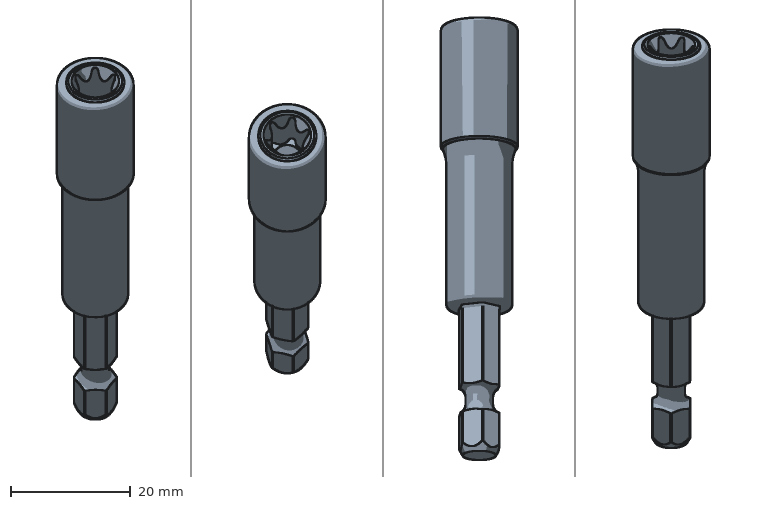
import cadquery as cq
import math

SLEEVE_RADIUS = 6.45
SLEEVE_TOP = 74.7
SLEEVE_BOTTOM = 53.5
SLEEVE_TOP_FILLET = 0.7
SLEEVE_BOTTOM_CHAMFER = 0.4

DRIVER_TOP = 75
CORE_RADIUS = 4.9
CORE_CHAMFER = 0.4
COLLAR_RADIUS = 6.15
BODY_RADIUS = 5.55
FLARE_BOTTOM = 50.8
BODY_BOTTOM = 25.65
BODY_FILLET = 0.75

HEX_SIDES = 6
HEX_ACROSS_FLATS = 6.4
HEX_CORNER_RADIUS = 3.6
HEX_TURN = 30
ROOT_HEIGHT = 0.7
ROOT_FLARE_ANGLE = 3
SHANK_TOP = BODY_BOTTOM - ROOT_HEIGHT
TIP_RADIUS = 2.8
TIP_CHAMFER_HEIGHT = 1.5

GROOVE_RADIUS = 2.3
GROOVE_LOW = 8.9
GROOVE_HIGH = 10.1
GROOVE_CURVE_RADIUS = 2.0

SOCKET_MOUTH_RADIUS = 4.0
LOBE_REACH = 3.75
RIDGE_REACH = 2.7
RIDGE_RADIUS = 1.65
LOBE_COUNT = 6
SOCKET_DEPTH = 7.5
LEAD_IN_ANGLE = 60
DRILL_RADIUS = 2.4
DRILL_POINT_ANGLE = 118


def revolve(profile):
    """Turn a profile drawn in radius and height about the Z axis."""
    return profile.close().revolve(360, (0, 0), (0, 1))


def polar(radius, degrees):
    angle = math.radians(degrees)
    return radius * math.cos(angle), radius * math.sin(angle)


def cone_height(radius, included_angle):
    return radius / math.tan(math.radians(included_angle / 2))


def make_sleeve():
    tube = (
        cq.Workplane("XY", origin=(0, 0, SLEEVE_BOTTOM))
        .circle(SLEEVE_RADIUS)
        .extrude(SLEEVE_TOP - SLEEVE_BOTTOM)
        .faces(">Z").edges().fillet(SLEEVE_TOP_FILLET)
        .faces("<Z").edges().chamfer(SLEEVE_BOTTOM_CHAMFER)
    )
    return tube.faces(">Z").workplane().circle(CORE_RADIUS).cutThruAll()


def make_body():
    """Round body with a concave flare up to the collar that carries the sleeve."""
    flare_width = COLLAR_RADIUS - BODY_RADIUS
    flare_height = SLEEVE_BOTTOM - FLARE_BOTTOM
    body = revolve(
        cq.Workplane("XZ")
        .moveTo(0, BODY_BOTTOM)
        .lineTo(BODY_RADIUS, BODY_BOTTOM)
        .lineTo(BODY_RADIUS, FLARE_BOTTOM)
        .tangentArcPoint((flare_width, flare_height), relative=True)
        .lineTo(CORE_RADIUS, SLEEVE_BOTTOM)
        .lineTo(CORE_RADIUS, DRIVER_TOP - CORE_CHAMFER)
        .lineTo(CORE_RADIUS - CORE_CHAMFER, DRIVER_TOP)
        .lineTo(0, DRIVER_TOP)
    )
    return body.faces("<Z").edges().fillet(BODY_FILLET)


def make_shank():
    """Hex bar trimmed by a turned profile: rounded corners, tip chamfer, groove and flared root."""
    hexagon = (
        cq.Workplane("XY")
        .transformed(rotate=(0, 0, HEX_TURN))
        .polygon(HEX_SIDES, HEX_ACROSS_FLATS, circumscribed=True)
        .extrude(SHANK_TOP)
    )
    rise = HEX_CORNER_RADIUS - GROOVE_RADIUS
    run = math.sqrt(GROOVE_CURVE_RADIUS**2 - (GROOVE_CURVE_RADIUS - rise) ** 2)
    half_sweep = math.asin(run / GROOVE_CURVE_RADIUS) / 2
    mid_radius = GROOVE_RADIUS + GROOVE_CURVE_RADIUS * (1 - math.cos(half_sweep))
    mid_run = GROOVE_CURVE_RADIUS * math.sin(half_sweep)
    turned = revolve(
        cq.Workplane("XZ")
        .moveTo(0, 0)
        .lineTo(TIP_RADIUS, 0)
        .lineTo(HEX_CORNER_RADIUS, TIP_CHAMFER_HEIGHT)
        .lineTo(HEX_CORNER_RADIUS, GROOVE_LOW - run)
        .threePointArc((mid_radius, GROOVE_LOW - mid_run), (GROOVE_RADIUS, GROOVE_LOW))
        .lineTo(GROOVE_RADIUS, GROOVE_HIGH)
        .threePointArc((mid_radius, GROOVE_HIGH + mid_run), (HEX_CORNER_RADIUS, GROOVE_HIGH + run))
        .lineTo(HEX_CORNER_RADIUS, SHANK_TOP)
        .lineTo(0, SHANK_TOP)
    )
    bar = hexagon.intersect(turned)
    return bar.faces(">Z").wires().toPending().workplane().extrude(ROOT_HEIGHT, taper=-ROOT_FLARE_ANGLE)


def socket_outline():
    """Six lobes and six ridges, all arcs tangent to their neighbours."""
    step = 360 / LOBE_COUNT
    cos_half_step = math.cos(math.radians(step / 2))
    ridge_centre = RIDGE_REACH + RIDGE_RADIUS
    lobe_radius = (
        (LOBE_REACH**2 + ridge_centre**2 - RIDGE_RADIUS**2 - 2 * LOBE_REACH * ridge_centre * cos_half_step)
        / (2 * (LOBE_REACH + RIDGE_RADIUS - ridge_centre * cos_half_step))
    )
    lobe_centre = LOBE_REACH - lobe_radius
    ridge_share = RIDGE_RADIUS / (RIDGE_RADIUS + lobe_radius)

    def joint(ridge_angle, lobe_angle):
        ridge_x, ridge_y = polar(ridge_centre, ridge_angle)
        lobe_x, lobe_y = polar(lobe_centre, lobe_angle)
        return (
            ridge_x + ridge_share * (lobe_x - ridge_x),
            ridge_y + ridge_share * (lobe_y - ridge_y),
        )

    outline = cq.Workplane("XY").moveTo(*joint(0, -step / 2))
    for index in range(LOBE_COUNT):
        ridge_angle = index * step
        lobe_angle = ridge_angle + step / 2
        outline = outline.threePointArc(polar(RIDGE_REACH, ridge_angle), joint(ridge_angle, lobe_angle))
        outline = outline.threePointArc(polar(LOBE_REACH, lobe_angle), joint(ridge_angle + step, lobe_angle))
    return outline.close()


def make_socket_cutter():
    """Lobed recess with a conical lead-in and a drill point below its floor."""
    floor = DRIVER_TOP - SOCKET_DEPTH
    lobes = socket_outline().extrude(SOCKET_DEPTH).translate((0, 0, floor))
    lead_in = revolve(
        cq.Workplane("XZ")
        .moveTo(0, DRIVER_TOP)
        .lineTo(SOCKET_MOUTH_RADIUS, DRIVER_TOP)
        .lineTo(0, DRIVER_TOP - cone_height(SOCKET_MOUTH_RADIUS, LEAD_IN_ANGLE))
    )
    drill_point = revolve(
        cq.Workplane("XZ")
        .moveTo(0, floor)
        .lineTo(DRILL_RADIUS, floor)
        .lineTo(0, floor - cone_height(DRILL_RADIUS, DRILL_POINT_ANGLE))
    )
    return lobes.union(lead_in).union(drill_point)


def make_driver():
    return make_body().union(make_shank()).cut(make_socket_cutter())


sleeve = make_sleeve()
driver = make_driver()

result = cq.Compound.makeCompound([sleeve.val(), driver.val()])